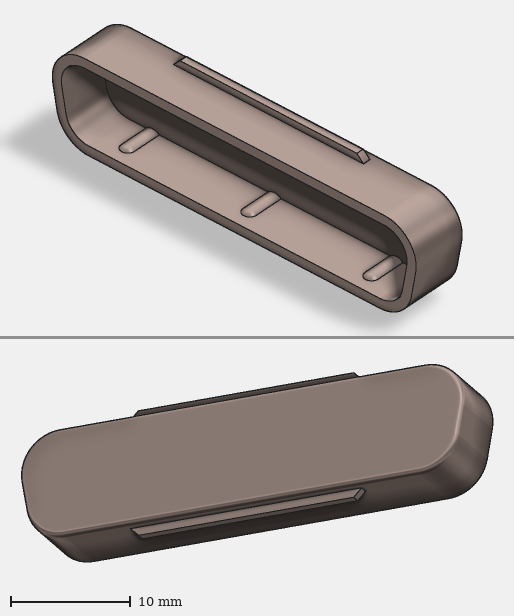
import cadquery as cq
import math

length = 40.6
depth = 6.1
height = 9.83
corner_radius = 3.57
side_angle = math.radians(10)
wall = 1.0
floor_thickness = 1.0
back_fillet = 0.5

rail_height = 0.75
rail_base_length = 21.2
rail_width = 0.8
rail_back_offset = 0.97

rib_spacing = 13.6
rib_width = 1.45
rib_rise = 0.3
rib_front_offset = 1.2

back_y = depth / 2
front_y = -depth / 2
floor_y = back_y - floor_thickness


def rounded_trapezoid(inset, start_y, end_y):
    """Prism along Y whose sides lean inwards towards the bottom."""
    radius = corner_radius - inset
    upper_x = length / 2 - corner_radius
    center_z = height / 2 - corner_radius
    lower_x = upper_x - 2 * center_z * math.tan(side_angle)
    normal_x = radius * math.cos(side_angle)
    normal_z = -radius * math.sin(side_angle)
    upper_mid = math.radians(45) - side_angle / 2
    lower_mid = -math.radians(45) - side_angle / 2

    def arc_point(x, z, angle, side):
        return side * (x + radius * math.cos(angle)), z + radius * math.sin(angle)

    top_z = center_z + radius
    outline = (
        cq.Workplane("XZ", origin=(0, end_y, 0))
        .moveTo(-upper_x, top_z)
        .lineTo(upper_x, top_z)
        .threePointArc(
            arc_point(upper_x, center_z, upper_mid, 1),
            (upper_x + normal_x, center_z + normal_z),
        )
        .lineTo(lower_x + normal_x, -center_z + normal_z)
        .threePointArc(arc_point(lower_x, -center_z, lower_mid, 1), (lower_x, -top_z))
        .lineTo(-lower_x, -top_z)
        .threePointArc(
            arc_point(lower_x, -center_z, lower_mid, -1),
            (-lower_x - normal_x, -center_z + normal_z),
        )
        .lineTo(-upper_x - normal_x, center_z + normal_z)
        .threePointArc(arc_point(upper_x, center_z, upper_mid, -1), (-upper_x, top_z))
        .close()
    )
    return outline.extrude(end_y - start_y)


def make_rails():
    """Both rails as one plate with 45-degree ends; the cavity later removes its middle."""
    half_base = rail_base_length / 2
    half_tip = half_base - rail_height
    base_z = height / 2
    tip_z = base_z + rail_height
    points = [
        (-half_base, base_z),
        (-half_tip, tip_z),
        (half_tip, tip_z),
        (half_base, base_z),
        (half_base, -base_z),
        (half_tip, -tip_z),
        (-half_tip, -tip_z),
        (-half_base, -base_z),
    ]
    plane = cq.Workplane("XZ", origin=(0, back_y - rail_back_offset, 0))
    return plane.polyline(points).close().extrude(rail_width)


def make_rib(x, side):
    """Round-nosed bar, mostly sunk in the wall, running forward from the floor."""
    radius = (rib_width**2 / 4 + rib_rise**2) / (2 * rib_rise)
    nose_y = front_y + rib_front_offset + rib_width / 2
    axis_z = side * (height / 2 - wall - rib_rise + radius)
    bar = cq.Workplane("XZ", origin=(x, floor_y, axis_z)).circle(radius).extrude(floor_y - nose_y)
    return bar.union(cq.Workplane("XY").sphere(radius).translate((x, nose_y, axis_z)))


body = rounded_trapezoid(0, front_y, back_y).faces(">Y").edges().fillet(back_fillet)
cavity = rounded_trapezoid(wall, front_y, floor_y)
result = body.union(make_rails()).cut(cavity)
for column in (-1, 0, 1):
    for side in (-1, 1):
        rib = make_rib(column * rib_spacing, side)
        result = result.union(rib.intersect(body))